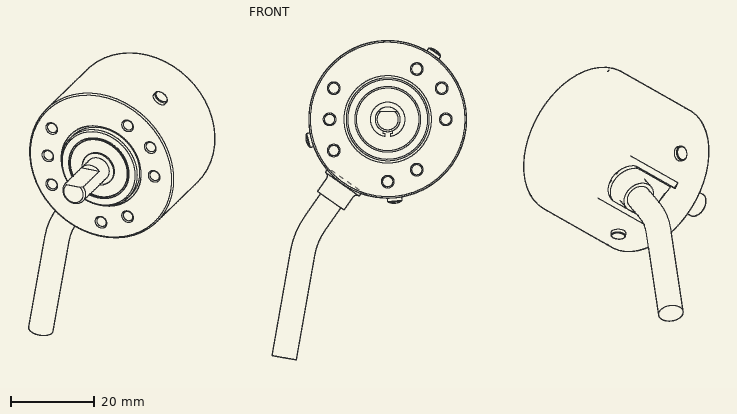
import cadquery as cq
import math


body_radius = 19.0
body_depth = 25.9
flange_depth = 7.7
flange_chamfer = 0.4
back_fillet = 1.4

boss_radius = 10.0
boss_height = 1.4
boss_chamfer = 0.4
base_groove_radius = 10.5
base_groove_depth = 0.45
cover_radius = 7.5
cover_groove_width = 0.4
cover_groove_depth = 0.3
shaft_radius = 3.0
shaft_end = 16.3
shaft_chamfer = 0.45
shaft_flat_length = 10.0
shaft_flat_height = 1.85

ring_radius = 4.15
ring_thickness = 0.45
ring_gap = 1.2
ring_notch_width = 2.3
ring_notch_radius = 3.45

hole_radius = 1.2
hole_depth = 5.0
hole_mouth_radius = 1.5
bolt_circles = [
    (14.0, [0, 60, 180, 300]),
    (15.0, [30, 150, 210, 270]),
]

screw_angles = [55, 195, 275]
screw_y = 10.15
screw_radius = 1.8
screw_chamfer = 0.19
screw_tip = 20.3
screw_dome_height = 0.4
screw_root = 15.4

outlet_angle = 235
flat_distance = 17.85
plate_distance = 19.1
plate_half_width = 5.0
plate_front = 9.8
outlet_y = 19.6
plate_back_radius = 5.3
collar_radius = 3.9
collar_end = 23.9
collar_fillet = 1.0
cable_radius = 3.0
bend_start = 30.5
bend_radius = 17.9
bend_angle = 25
cable_tail = 25.6
cable_tilt = 1.0


def cylinder(radius, y_start, y_end):
    """Cylinder on the shaft axis between two Y positions."""
    return cq.Workplane("XZ", origin=(0, y_end, 0)).circle(radius).extrude(y_end - y_start)


def ring(outer, inner, y_start, y_end):
    """Ring on the shaft axis between two Y positions."""
    return cylinder(outer, y_start, y_end).cut(cylinder(inner, y_start, y_end))


def radial_plane(angle, distance, y):
    """Plane facing outwards at a given angle, with its local y axis along +Y."""
    a = math.radians(angle)
    outward = (math.cos(a), 0, math.sin(a))
    side = (math.sin(a), 0, -math.cos(a))
    origin = (distance * outward[0], y, distance * outward[2])
    return cq.Workplane(cq.Plane(origin=origin, xDir=side, normal=outward))


def turning_plane(angle, distance, y):
    """Plane through a radial axis for revolved profiles: local y runs outwards, local x along +Y."""
    plane = radial_plane(angle, distance, y).plane
    return cq.Workplane(cq.Plane(origin=plane.origin, xDir=plane.yDir, normal=plane.xDir))


def make_flange():
    flange = cylinder(body_radius, 0, flange_depth).faces("<Y").chamfer(flange_chamfer)
    boss = cylinder(boss_radius, -boss_height, flange_depth).faces("<Y").chamfer(boss_chamfer)
    base_groove = ring(base_groove_radius, boss_radius, 0, base_groove_depth)
    cover_groove = ring(
        cover_radius + cover_groove_width, cover_radius, -boss_height, cover_groove_depth - boss_height
    )
    flange = flange.cut(base_groove).union(boss).cut(cover_groove)
    tongue = cylinder(body_radius, flange_depth, plate_front).intersect(
        radial_plane(outlet_angle, 0, flange_depth)
        .rect(2 * plate_half_width, 2 * flange_depth)
        .extrude(2 * body_radius)
    )
    return flange.union(tongue)


def make_housing():
    housing = cylinder(body_radius, flange_depth, body_depth)
    beyond_flat = (
        radial_plane(outlet_angle, flat_distance, body_depth / 2)
        .rect(2 * body_radius, 2 * body_depth)
        .extrude(body_radius)
    )
    return housing.cut(beyond_flat).faces(">Y").edges().fillet(back_fillet)


def make_shaft():
    shaft = cylinder(shaft_radius, -shaft_end, 0).faces("<Y").chamfer(shaft_chamfer)
    above_flat = cq.Workplane("XY").box(
        2 * shaft_radius, shaft_flat_length, shaft_radius, centered=(True, False, False)
    )
    return shaft.cut(above_flat.translate((0, -shaft_end, shaft_flat_height)))


def make_snap_ring():
    y_front = -boss_height - ring_thickness
    snap_ring = ring(ring_radius, shaft_radius, y_front, -boss_height)
    for width, reach in [(ring_gap, ring_radius), (ring_notch_width, ring_notch_radius)]:
        gap = cq.Workplane("XY").box(width, ring_thickness, reach, centered=(True, False, False))
        snap_ring = snap_ring.cut(gap.translate((0, y_front, -reach)))
    return snap_ring


def make_hole(circle_radius, angle):
    a = math.radians(angle)
    profile = (
        cq.Workplane("XY")
        .moveTo(0, 0)
        .lineTo(hole_mouth_radius, 0)
        .lineTo(hole_radius, hole_mouth_radius - hole_radius)
        .lineTo(hole_radius, hole_depth)
        .lineTo(0, hole_depth)
        .close()
    )
    hole = profile.revolve(360, (0, 0, 0), (0, 1, 0))
    return hole.translate((circle_radius * math.cos(a), 0, circle_radius * math.sin(a)))


def make_screw(angle):
    dome_radius = screw_radius - screw_chamfer
    dome_base = screw_tip - screw_dome_height
    sphere_radius = (dome_radius**2 + screw_dome_height**2) / (2 * screw_dome_height)
    half_span = math.asin(dome_radius / sphere_radius) / 2
    dome_middle = (
        sphere_radius * math.sin(half_span),
        screw_tip - sphere_radius * (1 - math.cos(half_span)),
    )
    profile = (
        turning_plane(angle, 0, screw_y)
        .moveTo(0, screw_root)
        .lineTo(screw_radius, screw_root)
        .lineTo(screw_radius, dome_base - screw_chamfer)
        .lineTo(dome_radius, dome_base)
        .threePointArc(dome_middle, (0, screw_tip))
        .close()
    )
    return profile.revolve(360, (0, 0, 0), (0, 1, 0))


def make_plate():
    straight_front = plate_front - outlet_y
    arc_rise = math.sqrt(plate_back_radius**2 - plate_half_width**2)
    return (
        radial_plane(outlet_angle, flat_distance, outlet_y)
        .moveTo(-plate_half_width, straight_front)
        .lineTo(plate_half_width, straight_front)
        .lineTo(plate_half_width, arc_rise)
        .threePointArc((0, plate_back_radius), (-plate_half_width, arc_rise))
        .close()
        .extrude(plate_distance - flat_distance)
    )


def make_collar():
    length = collar_end - plate_distance
    foot = collar_radius + collar_fillet
    middle = foot - collar_fillet * math.sin(math.pi / 4)
    middle_height = collar_fillet * (1 - math.cos(math.pi / 4))
    profile = (
        turning_plane(outlet_angle, plate_distance, outlet_y)
        .lineTo(foot, 0)
        .threePointArc((middle, middle_height), (collar_radius, collar_fillet))
        .lineTo(collar_radius, length)
        .lineTo(0, length)
        .close()
    )
    return profile.revolve(360, (0, 0, 0), (0, 1, 0))


def make_cable():
    start_direction = math.radians(outlet_angle)
    end_direction = math.radians(outlet_angle + bend_angle)
    mid_direction = (start_direction + end_direction) / 2

    def along(point, direction, distance):
        return point[0] + distance * math.cos(direction), point[1] + distance * math.sin(direction)

    def on_bend(direction):
        return along(bend_centre, direction - math.pi / 2, bend_radius)

    start = along((0, 0), start_direction, plate_distance)
    bend_in = along((0, 0), start_direction, bend_start)
    bend_centre = along(bend_in, start_direction + math.pi / 2, bend_radius)
    bend_out = on_bend(end_direction)
    path = (
        cq.Workplane("XZ", origin=(0, outlet_y, 0))
        .moveTo(*start)
        .lineTo(*bend_in)
        .threePointArc(on_bend(mid_direction), bend_out)
        .lineTo(*along(bend_out, end_direction, cable_tail))
    )
    cable = radial_plane(outlet_angle, plate_distance, outlet_y).circle(cable_radius).sweep(path)
    pivot = (0, outlet_y, start[1])
    return cable.rotate(pivot, (1, pivot[1], pivot[2]), cable_tilt)


result = make_flange().union(make_housing()).union(make_shaft()).union(make_snap_ring())
for screw_angle in screw_angles:
    result = result.union(make_screw(screw_angle))
for circle_radius, hole_angles in bolt_circles:
    for hole_angle in hole_angles:
        result = result.cut(make_hole(circle_radius, hole_angle))
result = result.union(make_plate()).union(make_collar()).union(make_cable())